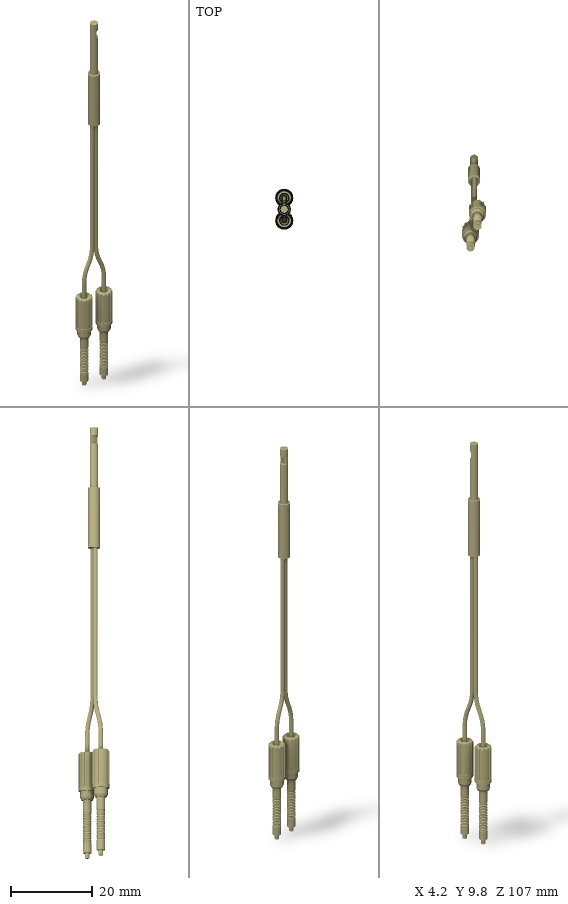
import cadquery as cq
import math

TOTAL_HEIGHT = 107.0
TIP_LENGTH = 15.0
SLEEVE_LENGTH = 15.0
TIP_BASE = TOTAL_HEIGHT - TIP_LENGTH
SLEEVE_BASE = TIP_BASE - SLEEVE_LENGTH

TIP_DIAMETER = 2.0
NOTCH_TOP_GAP = 2.0
NOTCH_HEIGHT = 2.0
NOTCH_DEPTH = 0.9
SLEEVE_DIAMETER = 3.0

WIRE_DIAMETER = 1.1
CONNECTOR_OFFSET = 2.8
BEND_TOP = 40.2
BEND_HEIGHT = 10.0

KNOB_DIAMETER = 4.2
KNOB_BASE = 16.7
KNOB_TOP = 26.3
KNOB_CHAMFER = 0.3
FLANGE_TOP = KNOB_BASE + 1.0
RIB_COUNT = 12
RIB_WIDTH = 0.3
RIB_HEIGHT = 0.2
BARREL_DIAMETER = KNOB_DIAMETER - 2 * RIB_HEIGHT
COUNTERSINK_DIAMETER = 2.2
COUNTERSINK_ANGLE = 90

COLLAR_DIAMETER = 3.4
COLLAR_BASE = 15.1
TAPER_BASE = 14.4
TAPER_DIAMETER = 2.8
PIN_DIAMETER = 2.09
PIN_BASE = 1.3
RING_ZONE_BASE = 3.6
RING_PITCH = 0.4
RING_COUNT = 18
RING_DEPTH = 0.1


def cylinder(diameter, base, top):
    return cq.Workplane("XY", origin=(0, 0, base)).circle(diameter / 2).extrude(top - base)


def make_tip():
    notch_base = TOTAL_HEIGHT - NOTCH_TOP_GAP - NOTCH_HEIGHT
    notch = (
        cq.Workplane("XY", origin=(0, TIP_DIAMETER / 2 - NOTCH_DEPTH, notch_base))
        .box(TIP_DIAMETER, NOTCH_DEPTH, NOTCH_HEIGHT, centered=(True, False, False))
    )
    return cylinder(TIP_DIAMETER, TIP_BASE, TOTAL_HEIGHT).cut(notch)


def make_sleeve():
    return cylinder(SLEEVE_DIAMETER, SLEEVE_BASE, TIP_BASE)


def make_wire(side):
    """One wire; side is -1 or +1 for the -Y or +Y connector."""
    start_y = side * WIRE_DIAMETER / 2
    end_y = side * CONNECTOR_OFFSET
    shift = end_y - start_y
    bend_base = BEND_TOP - BEND_HEIGHT

    radius = (shift ** 2 + BEND_HEIGHT ** 2) / (4 * abs(shift))
    quarter_angle = math.asin(BEND_HEIGHT / 2 / radius) / 2
    arc_shift = side * radius * (1 - math.cos(quarter_angle))
    arc_drop = radius * math.sin(quarter_angle)
    bend_middle = (start_y + shift / 2, BEND_TOP - BEND_HEIGHT / 2)
    path = (
        cq.Workplane("YZ")
        .moveTo(start_y, SLEEVE_BASE)
        .lineTo(start_y, BEND_TOP)
        .threePointArc((start_y + arc_shift, BEND_TOP - arc_drop), bend_middle)
        .threePointArc((end_y - arc_shift, bend_base + arc_drop), (end_y, bend_base))
        .lineTo(end_y, 0)
    )
    section = cq.Workplane("XY", origin=(0, start_y, SLEEVE_BASE)).circle(WIRE_DIAMETER / 2)
    return section.sweep(path)


def make_knob():
    flange = cylinder(KNOB_DIAMETER, KNOB_BASE, FLANGE_TOP)
    knob = cylinder(BARREL_DIAMETER, KNOB_BASE, KNOB_TOP).union(flange)
    rib = (
        cq.Workplane("XY", origin=(0, 0, FLANGE_TOP))
        .box(KNOB_DIAMETER / 2, RIB_WIDTH, KNOB_TOP - FLANGE_TOP, centered=(False, True, False))
    )
    for index in range(RIB_COUNT):
        knob = knob.union(rib.rotate((0, 0, 0), (0, 0, 1), index * 360 / RIB_COUNT))
    envelope = cylinder(KNOB_DIAMETER, KNOB_BASE, KNOB_TOP).faces(">Z").chamfer(KNOB_CHAMFER)
    return knob.intersect(envelope)


def make_pin():
    shaft_radius = PIN_DIAMETER / 2
    profile = [(0, PIN_BASE), (shaft_radius, PIN_BASE), (shaft_radius, RING_ZONE_BASE)]
    for index in range(RING_COUNT):
        groove_base = RING_ZONE_BASE + index * RING_PITCH
        profile.append((shaft_radius - RING_DEPTH, groove_base + RING_PITCH / 2))
        profile.append((shaft_radius, groove_base + RING_PITCH))
    profile += [
        (shaft_radius, TAPER_BASE),
        (TAPER_DIAMETER / 2, TAPER_BASE),
        (COLLAR_DIAMETER / 2, COLLAR_BASE),
        (COLLAR_DIAMETER / 2, KNOB_BASE),
        (0, KNOB_BASE),
    ]
    return cq.Workplane("XZ").polyline(profile).close().revolve(360, (0, 0), (0, 1))


def make_connector(side):
    """Knob and pin in one piece, bored through for the wire; side as for the wires."""
    connector = (
        make_knob().union(make_pin())
        .faces(">Z").workplane(origin=(0, 0, KNOB_TOP))
        .cskHole(WIRE_DIAMETER, COUNTERSINK_DIAMETER, COUNTERSINK_ANGLE)
    )
    return connector.translate((0, side * CONNECTOR_OFFSET, 0))


SIDES = (-1, 1)
tip = make_tip()
sleeve = make_sleeve()
wires = [make_wire(side).val() for side in SIDES]
connectors = [make_connector(side).val() for side in SIDES]

result = cq.Compound.makeCompound([tip.val(), sleeve.val(), *wires, *connectors])